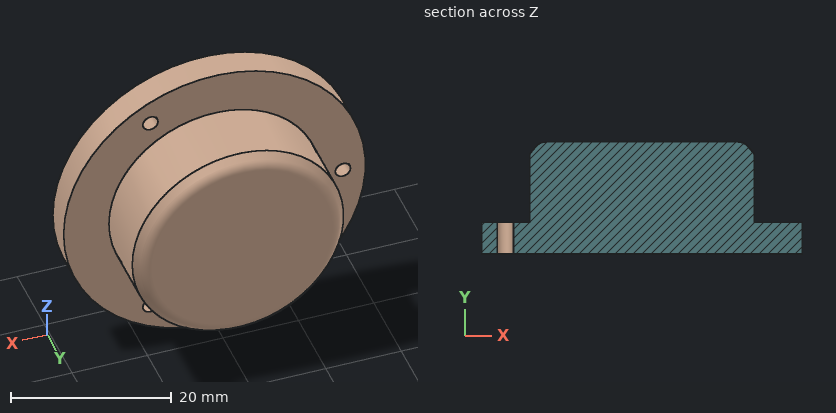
import cadquery as cq

flange_diameter = 40.0
flange_thickness = 4.0

boss_diameter = 28.0
boss_height = 10.0

rim_chamfer_depth = 1.5
rim_chamfer_width = 1.25
rim_blend_radius = 1.6

hole_diameter = 2.0
hole_circle_radius = (flange_diameter + boss_diameter) / 4
hole_count = 3
first_hole_angle = 60.0


def make_disc(diameter, start_y, thickness):
    """Solid disc on the Y axis that runs from start_y toward +Y."""
    return cq.Workplane("XZ").workplane(offset=-start_y).circle(diameter / 2).extrude(-thickness)


def make_boss():
    """Boss with a chamfered rim, rounded where the chamfer meets the end face."""
    boss = make_disc(boss_diameter, flange_thickness, boss_height)
    boss = boss.faces(">Y").edges().chamfer(rim_chamfer_depth, rim_chamfer_width)
    return boss.faces(">Y").edges().fillet(rim_blend_radius)


def make_holes():
    """Evenly spaced pins that cut the screw holes through the flange."""
    return (
        cq.Workplane("XZ")
        .polarArray(hole_circle_radius, first_hole_angle, 360, hole_count)
        .circle(hole_diameter / 2)
        .extrude(-flange_thickness)
    )


flange = make_disc(flange_diameter, 0, flange_thickness)
result = flange.union(make_boss()).cut(make_holes())